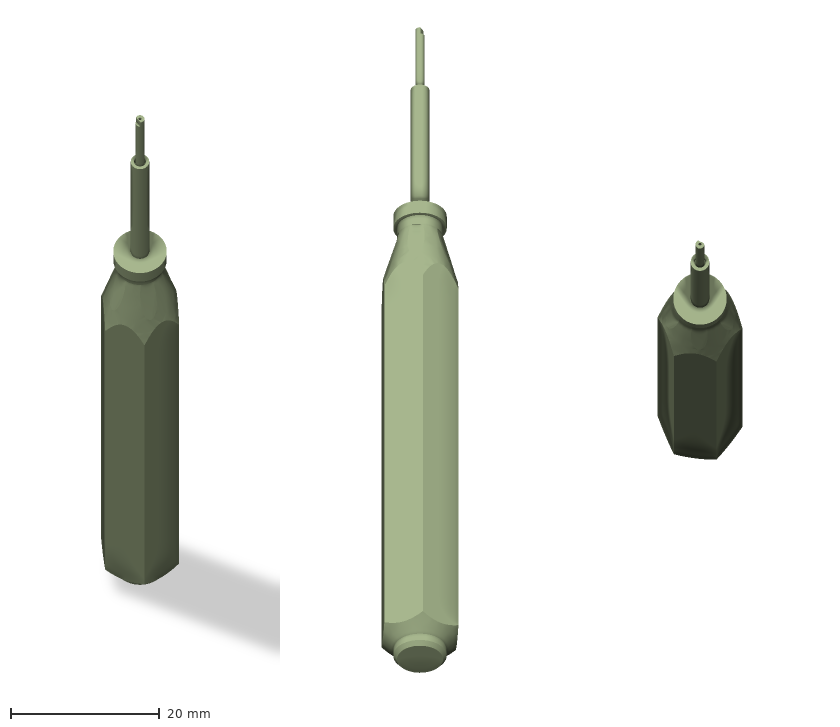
import cadquery as cq
import math

total_length = 104.6
across_flats = 10.0
hexagon_turn = 30.0
corner_radius = across_flats / math.sqrt(3)

tip_length = 10.0
tip_radius = 0.6
tip_bore_radius = 0.2
tip_bore_depth = 1.0
notch_floor_offset = 0.3
notch_height = 1.0
shaft_length = 21.0
shaft_radius = 1.25
shaft_mouth_radius = 0.8
shaft_mouth_depth = 1.0

collar_radius = 3.6
collar_height = 2.0
neck_radius = 3.1
neck_height = 1.5
taper_length = 10.4

foot_end_radius = 3.1
foot_end_height = 0.6
flange_radius = 3.6
flange_height = 1.05
foot_cone_angle = math.radians(45)

scallop_count = 5
scallop_length = 6.2
scallop_start_depth = 0.12
scallop_middle_depth = 0.17
first_scallop_angle = -90.0

shaft_top = total_length - tip_length
handle_top = shaft_top - shaft_length
collar_bottom = handle_top - collar_height
neck_bottom = collar_bottom - neck_height
taper_bottom = neck_bottom - taper_length
flange_top = foot_end_height + flange_height
foot_cone_top = flange_top + (corner_radius - flange_radius) / math.tan(foot_cone_angle)


def cylinder(radius, bottom, top):
    """Upright cylinder on the Z axis between two heights."""
    return cq.Workplane("XY").workplane(offset=bottom).circle(radius).extrude(top - bottom)


def turned_handle():
    """Handle as turned, before the hexagon sides are cut."""
    outline = (
        cq.Workplane("XZ")
        .lineTo(foot_end_radius, 0)
        .lineTo(flange_radius, foot_end_height)
        .lineTo(flange_radius, flange_top)
        .lineTo(corner_radius, foot_cone_top)
        .lineTo(corner_radius, taper_bottom)
        .lineTo(neck_radius, neck_bottom)
        .lineTo(neck_radius, collar_bottom)
        .lineTo(collar_radius, collar_bottom)
        .lineTo(collar_radius, handle_top)
        .lineTo(0, handle_top)
        .close()
    )
    return outline.revolve(360, (0, 0), (0, 1))


def hexagon_bar():
    """Hexagon with two flats square to X and two corners on Y."""
    bar = cq.Workplane("XY").polygon(6, 2 * corner_radius).extrude(handle_top)
    return bar.rotate((0, 0, 0), (0, 0, 1), hexagon_turn)


def taper_radius(drop):
    """Radius of the taper at a distance below the neck."""
    return neck_radius + (corner_radius - neck_radius) * drop / taper_length


def scallop_cutter(angle):
    """Bar with a curved inner face that dips into the taper and fades out at its lower end."""
    half_length = scallop_length / 2
    start = (neck_radius - scallop_start_depth, neck_bottom)
    middle = (taper_radius(half_length) - scallop_middle_depth, neck_bottom - half_length)
    end = (taper_radius(scallop_length), neck_bottom - scallop_length)
    outer_corner = (end[0], neck_bottom)
    section = cq.Workplane("XZ").moveTo(*start).threePointArc(middle, end).lineTo(*outer_corner).close()
    bar = section.extrude(corner_radius, both=True)
    return bar.rotate((0, 0, 0), (0, 0, 1), angle)


def open_shaft():
    """Round shaft with a recess around the tip in its upper end."""
    shaft = cylinder(shaft_radius, collar_bottom, shaft_top)
    return shaft.cut(cylinder(shaft_mouth_radius, shaft_top - shaft_mouth_depth, shaft_top))


def notched_tip():
    """Round tip bored from the top, with a flat-floored open notch on its -Y side."""
    body = cylinder(tip_radius, collar_bottom, total_length)
    bore = cylinder(tip_bore_radius, total_length - tip_bore_depth, total_length)
    notch = (
        cq.Workplane("XY")
        .box(2 * tip_radius, tip_radius, notch_height, centered=(True, False, False))
        .translate((0, -notch_floor_offset - tip_radius, total_length - notch_height))
    )
    return body.cut(bore).cut(notch)


handle = turned_handle().intersect(hexagon_bar())
for index in range(scallop_count):
    handle = handle.cut(scallop_cutter(first_scallop_angle + index * 360 / scallop_count))

result = handle.union(open_shaft()).union(notched_tip())